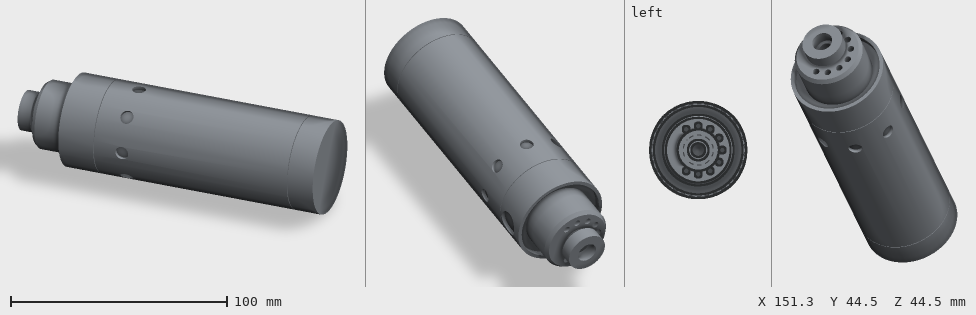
import cadquery as cq
import math

length = 151.3
body_dia = 44.5
nose_x = -length / 2

knob_end = 6.2
neck_end = 9.2
bevel_end = 11.0
sleeve_start = 25.1
front_groove = 42.5
ports = 56.6
rear_groove = 138.6
cross_hole = 35.0

knob_dia = 19.0
neck_dia = 13.9
spindle_dia = 32.7
spindle_face_dia = 30.0

recess_dia = 41.0
recess_depth = 3.0

groove_width = 0.3
groove_dia = 42.8

port_dia = 6.4
port_count = 8
port_floor_dia = 41.0

cross_hole_dia = 11.8
cross_hole_floor_dia = 41.0

counterbore_dia = 9.5
counterbore_depth = 6.2
bore_dia = 6.4
bore_depth = 18.2
bore_tip_angle = 118.0

vent_dia = 3.2
vent_circle_dia = 22.2
vent_depth = 9.1
vent_pitch = 30
vent_limit = 120


def disc(start, end, diameter):
    """Cylinder on the X axis between two stations."""
    plane = cq.Workplane("YZ", origin=(nose_x + start, 0, 0))
    return plane.circle(diameter / 2).extrude(end - start)


def tube(start, end, outer_dia, inner_dia):
    return disc(start, end, outer_dia).cut(disc(start, end, inner_dia))


def stepped_body():
    profile = [
        (0, 0),
        (0, knob_dia / 2),
        (knob_end, knob_dia / 2),
        (knob_end, neck_dia / 2),
        (neck_end, neck_dia / 2),
        (neck_end, spindle_face_dia / 2),
        (bevel_end, spindle_dia / 2),
        (sleeve_start, spindle_dia / 2),
        (sleeve_start, body_dia / 2),
        (length, body_dia / 2),
        (length, 0),
    ]
    outline = cq.Workplane("XY", origin=(nose_x, 0, 0)).polyline(profile).close()
    return outline.revolve(360, (0, 0, 0), (1, 0, 0))


def knob_bore():
    tip_length = bore_dia / 2 / math.tan(math.radians(bore_tip_angle / 2))
    profile = [
        (0, 0),
        (0, counterbore_dia / 2),
        (counterbore_depth, counterbore_dia / 2),
        (counterbore_depth, bore_dia / 2),
        (bore_depth, bore_dia / 2),
        (bore_depth + tip_length, 0),
    ]
    outline = cq.Workplane("XY", origin=(nose_x, 0, 0)).polyline(profile).close()
    return outline.revolve(360, (0, 0, 0), (1, 0, 0))


def spindle_vents():
    face = cq.Workplane("YZ", origin=(nose_x + neck_end, 0, 0))
    angles = [math.radians(a) for a in range(-vent_limit, vent_limit + 1, vent_pitch)]
    radius = vent_circle_dia / 2
    centers = [(-radius * math.cos(a), radius * math.sin(a)) for a in angles]
    return face.pushPoints(centers).circle(vent_dia / 2).extrude(vent_depth)


def seam_groove(station):
    half_width = groove_width / 2
    return tube(station - half_width, station + half_width, body_dia, groove_dia)


def radial_ports():
    shell = tube(ports - port_dia, ports + port_dia, body_dia, port_floor_dia)
    drill = cq.Workplane("XY", origin=(nose_x + ports, 0, 0)).circle(port_dia / 2).extrude(body_dia)
    drills = cq.Workplane("XY")
    for index in range(port_count):
        angle = index * 360 / port_count
        drills = drills.add(drill.rotate((0, 0, 0), (1, 0, 0), angle))
    return shell.intersect(drills.combine())


def cross_hole_cutter():
    plane = cq.Workplane("XZ", origin=(nose_x + cross_hole, 0, 0))
    drill = plane.circle(cross_hole_dia / 2).extrude(-body_dia)
    return drill.cut(disc(sleeve_start, front_groove, cross_hole_floor_dia))


result = stepped_body()
result = result.cut(tube(sleeve_start, sleeve_start + recess_depth, recess_dia, spindle_dia))
result = result.cut(knob_bore())
result = result.cut(spindle_vents())
for groove_station in (front_groove, rear_groove):
    result = result.cut(seam_groove(groove_station))
result = result.cut(radial_ports())
result = result.cut(cross_hole_cutter())